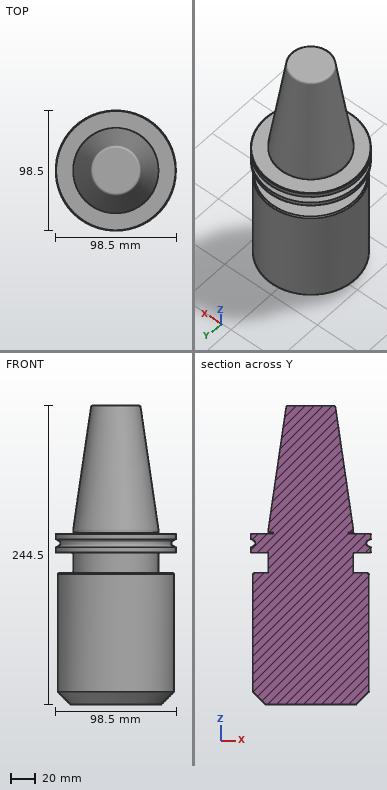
import cadquery as cq

total_length = 244.5

gauge_diameter = 70.0
taper_length = 101.5
taper_ratio = 7 / 24
tip_fillet = 2.0
gauge_land = 2.5
undercut_diameter = 61.5

flange_diameter = 98.5
flange_gap = 3.2
flange_thickness = 16.0
flange_chamfer = 0.6
groove_diameter = 91.2
groove_width = 6.8
groove_floor_width = 3.0
groove_fillet = 1.0

neck_diameter = 70.0
neck_fillet = 0.7
body_diameter = 95.3
body_length = 107.8
body_top_chamfer = 1.2
nose_chamfer = 10.8

gauge_radius = gauge_diameter / 2
tip_radius = gauge_radius - taper_length * taper_ratio / 2
undercut_radius = undercut_diameter / 2
flange_radius = flange_diameter / 2
groove_radius = groove_diameter / 2
neck_radius = neck_diameter / 2
body_radius = body_diameter / 2

gauge_z = total_length - taper_length
flange_top = gauge_z - flange_gap
flange_bottom = flange_top - flange_thickness
groove_z = (flange_top + flange_bottom) / 2

profile = [
    (0, 0),
    (body_radius - nose_chamfer, 0),
    (body_radius, nose_chamfer),
    (body_radius, body_length - body_top_chamfer),
    (body_radius - body_top_chamfer, body_length),
    (neck_radius, body_length),
    (neck_radius, flange_bottom),
    (flange_radius - flange_chamfer, flange_bottom),
    (flange_radius, flange_bottom + flange_chamfer),
    (flange_radius, groove_z - groove_width / 2),
    (groove_radius, groove_z - groove_floor_width / 2),
    (groove_radius, groove_z + groove_floor_width / 2),
    (flange_radius, groove_z + groove_width / 2),
    (flange_radius, flange_top - flange_chamfer),
    (flange_radius - flange_chamfer, flange_top),
    (undercut_radius, flange_top),
    (undercut_radius, gauge_z - gauge_land),
    (gauge_radius, gauge_z - gauge_land),
    (gauge_radius, gauge_z),
    (tip_radius, total_length),
    (0, total_length),
]

holder = cq.Workplane("XZ").polyline(profile).close().revolve(360, (0, 0, 0), (0, 1, 0))

holder = holder.faces(">Z").edges().fillet(tip_fillet)


def ring_edges(solid, radius, height):
    """Select the circular edge of the given radius at the given height."""
    reach = 0.02
    outer = radius + reach
    selector = cq.selectors.BoxSelector(
        (-outer, -outer, height - reach), (outer, outer, height + reach), boundingbox=True
    )
    return solid.edges(selector)


for corner_z in (body_length, flange_bottom):
    holder = ring_edges(holder, neck_radius, corner_z).fillet(neck_fillet)

for side in (-1, 1):
    corner_z = groove_z + side * groove_floor_width / 2
    holder = ring_edges(holder, groove_radius, corner_z).fillet(groove_fillet)

result = holder